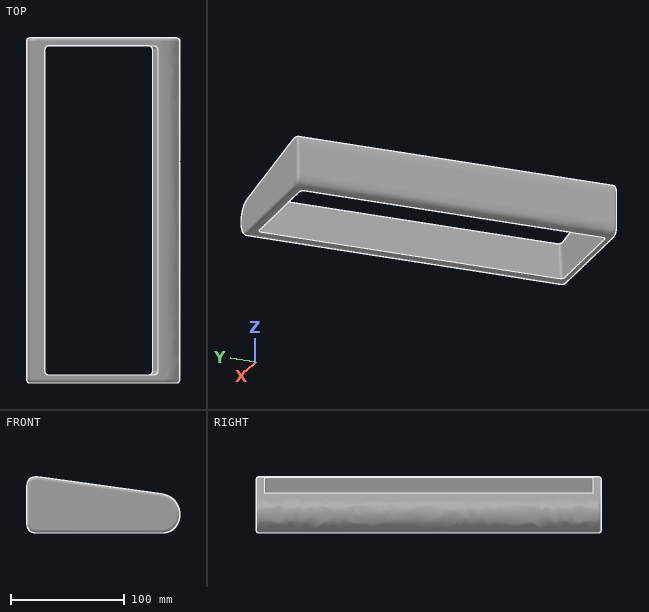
import cadquery as cq
import math

width_y = 305.0

back_height = 51.35
top_slope = 7.85

base_end_x = 119.3
top_end_x = 118.6
nose_lower_handle = 20.8
nose_upper_handle = 23.3

lower_blend = 10.8
upper_blend = 12.6
blend_fullness = 0.36

end_fillet = 3.0

opening_start_x = 16.2
opening_length = 100.7
end_wall = 7.3
opening_corner_radius = 3.5
depth_allowance = 1.5

slope_angle = math.radians(top_slope)
slope_cos = math.cos(slope_angle)
slope_sin = math.sin(slope_angle)
slope_tan = math.tan(slope_angle)


def toward(start, target, fraction):
    """Point lying the given fraction of the way from start to target."""
    return (
        start[0] + (target[0] - start[0]) * fraction,
        start[1] + (target[1] - start[1]) * fraction,
    )


def blend_points(start, corner, end):
    """Control points of a smooth blend that rounds off a corner."""
    return [
        start,
        toward(start, corner, blend_fullness),
        corner,
        toward(end, corner, blend_fullness),
        end,
    ]


def nose_points():
    """Control points of the nose, tangent to the base and to the sloping top."""
    base_end = (base_end_x, 0)
    base_handle = (base_end_x + nose_lower_handle, 0)
    top_end = (top_end_x, back_height - top_end_x * slope_tan)
    top_handle = (
        top_end[0] + nose_upper_handle * slope_cos,
        top_end[1] - nose_upper_handle * slope_sin,
    )
    return [base_end, base_handle, top_handle, top_end]


def wedge():
    """Solid wedge running along Y, with blended back corners and rounded end rims."""
    upper_corner = (0, back_height)
    upper_start = (upper_blend * slope_cos, back_height - upper_blend * slope_sin)
    upper_end = (0, back_height - upper_blend)
    lower_corner = (0, 0)
    lower_start = (0, lower_blend)
    lower_end = (lower_blend, 0)
    body = (
        cq.Workplane("XZ", origin=(0, width_y / 2, 0))
        .moveTo(*lower_end)
        .lineTo(base_end_x, 0)
        .bezier(nose_points())
        .lineTo(*upper_start)
        .bezier(blend_points(upper_start, upper_corner, upper_end))
        .lineTo(*lower_start)
        .bezier(blend_points(lower_start, lower_corner, lower_end))
        .close()
        .extrude(width_y)
    )
    return body.faces("<Y or >Y").edges().fillet(end_fillet)


def opening():
    """Rounded rectangular cutter sunk square to the sloping top."""
    opening_end_x = opening_start_x + opening_length * slope_cos
    centre_x = (opening_start_x + opening_end_x) / 2
    top_plane = cq.Plane(
        origin=(centre_x, 0, back_height - centre_x * slope_tan),
        xDir=(slope_cos, 0, -slope_sin),
        normal=(slope_sin, 0, slope_cos),
    )
    outline = (
        cq.Sketch()
        .rect(opening_length, width_y - 2 * end_wall)
        .vertices()
        .fillet(opening_corner_radius)
    )
    cutter_depth = depth_allowance * back_height
    return cq.Workplane(top_plane).placeSketch(outline).extrude(-cutter_depth)


result = wedge().cut(opening())